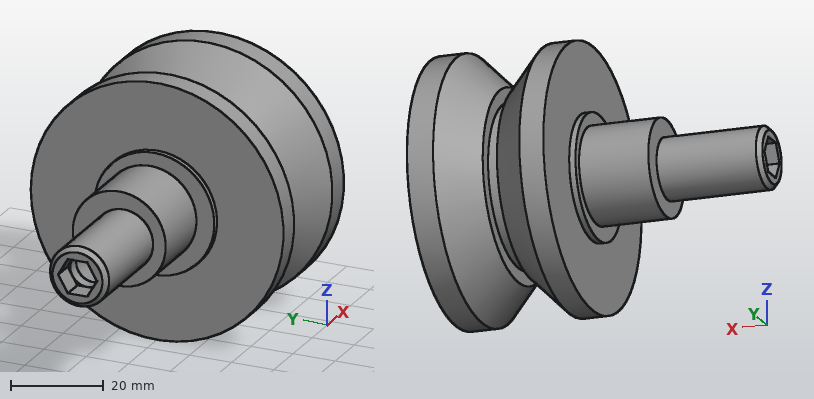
import cadquery as cq
import math

total_length = 73.0
stud_length = 24.0
collar_length = 16.0
washer_length = 1.45
wheel_start = stud_length + collar_length + washer_length

stud_radius = 7.0
stud_chamfer = 1.1
collar_radius = 11.0
collar_offset = 1.0
washer_radius = 14.2
wheel_radius = 30.0
cone_foot_radius = 21.7
groove_radius = 18.4

front_rim_width = 5.55
cone_width = wheel_radius - cone_foot_radius
groove_width = 3.3

socket_across_flats = 7.95
socket_depth = 5.0
socket_across_corners = socket_across_flats / math.cos(math.pi / 6)
drill_radius = socket_across_flats / 2
drill_depth = 8.0
drill_point_depth = drill_radius * math.tan(math.pi / 6)


def cylinder(start, length, radius, offset=0.0):
    """Cylinder along X, with its axis moved by offset along Y."""
    return cq.Workplane("YZ", origin=(start, offset, 0)).circle(radius).extrude(length)


def grooved_wheel():
    """Two rims with conical flanks leading down to a flat-bottomed groove."""
    front_cone_start = wheel_start + front_rim_width
    groove_start = front_cone_start + cone_width
    groove_end = groove_start + groove_width
    rear_rim_start = groove_end + cone_width
    profile = [
        (wheel_start, 0),
        (wheel_start, wheel_radius),
        (front_cone_start, wheel_radius),
        (groove_start, cone_foot_radius),
        (groove_start, groove_radius),
        (groove_end, groove_radius),
        (groove_end, cone_foot_radius),
        (rear_rim_start, wheel_radius),
        (total_length, wheel_radius),
        (total_length, 0),
    ]
    return cq.Workplane("XY").polyline(profile).close().revolve(360, (0, 0, 0), (1, 0, 0))


def key_socket():
    """Hexagon with corners on the Y axis, followed by a round pilot hole with a conical end."""
    hexagon = cq.Workplane("YZ").polygon(6, socket_across_corners).extrude(socket_depth)
    pilot_profile = [
        (socket_depth, 0),
        (socket_depth, drill_radius),
        (drill_depth, drill_radius),
        (drill_depth + drill_point_depth, 0),
    ]
    pilot_hole = cq.Workplane("XY").polyline(pilot_profile).close().revolve(360, (0, 0, 0), (1, 0, 0))
    return hexagon.union(pilot_hole)


stud = cylinder(0, stud_length, stud_radius).faces("<X").chamfer(stud_chamfer)
collar = cylinder(stud_length, collar_length, collar_radius, collar_offset)
washer = cylinder(stud_length + collar_length, washer_length, washer_radius)

result = stud.union(collar).union(washer).union(grooved_wheel()).cut(key_socket())